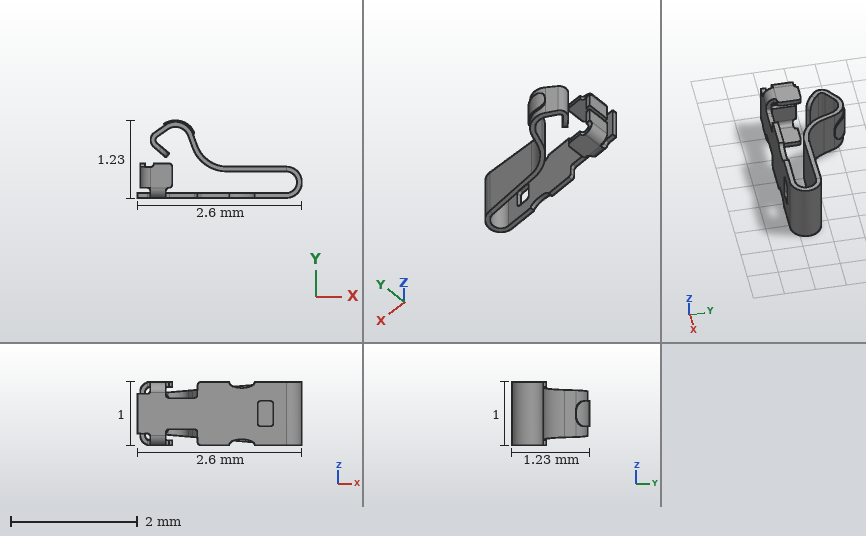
import cadquery as cq
import math


length = 2.6
width = 1.0
sheet = 0.08
corner_radius = 0.05
half_width = width / 2
half_sheet = sheet / 2

tail_half_width = 0.315
waist_half_width = 0.247
shoulder_x = 0.95
notch_center_x = 1.65
notch_length = 0.4
notch_depth = 0.095
window_center_x = 2.023
window_length = 0.25
window_width = 0.4

return_height = 0.5
return_length = 0.935
neck_radius = 0.54
neck_angle = 70.0
neck_length = 0.195
crest_radius = 0.252
crest_slope = 35.0
ramp_length = 0.203
hook_radius = 0.105
tip_slope = 40.5
tip_length = 0.255
tip_corner_radius = 0.15
taper_angle = 5.0

pad_thickness = 0.025
pad_width = 0.4
pad_corner_radius = 0.15

arm_start_x = 0.203
arm_end_x = 0.45
arm_bend_radius = 0.16
flange_end_x = 0.55
flange_top = 0.549
flange_corner_radius = 0.055
wall_end_z = 0.05
relief_floor = 0.491
relief_end_x = 0.257

bend_z = half_width - arm_bend_radius
wall_x = arm_start_x - arm_bend_radius
return_x = length - return_height / 2


def polar(center, radius, angle):
    """Point at a radius and an angle in degrees from a centre; a negative radius goes the opposite way."""
    turn = math.radians(angle)
    return (center[0] + radius * math.cos(turn), center[1] + radius * math.sin(turn))


def box(x_range, y_range, z_range):
    """Axis-aligned block between pairs of limits."""
    sizes = [high - low for low, high in (x_range, y_range, z_range)]
    return cq.Workplane("XY").box(*sizes, centered=False).translate((x_range[0], y_range[0], z_range[0]))


def concave_corner(workplane, corner, leg_1, leg_2, radius):
    """Fillet area in a square corner; leg_1 and leg_2 (1 or -1) are the legs' directions along x and y."""
    x, y = corner
    start = (x + leg_1 * radius, y)
    end = (x, y + leg_2 * radius)
    center = (x + leg_1 * radius, y + leg_2 * radius)
    middle = polar(center, radius, math.degrees(math.atan2(-leg_2, -leg_1)))
    return workplane.moveTo(*start).threePointArc(middle, end).lineTo(x, y).close()


return_radius = return_height / 2 - half_sheet
return_center = (return_x, return_height / 2)

neck_center = (return_x - return_length, return_height - half_sheet + neck_radius)
neck_end_angle = 270 - neck_angle
neck_end = polar(neck_center, neck_radius, neck_end_angle)

crest_start_angle = 90 - neck_angle
crest_end_angle = 90 + crest_slope
crest_start = polar(neck_end, neck_length, crest_start_angle + 90)
crest_center = polar(crest_start, -crest_radius, crest_start_angle)
crest_end = polar(crest_center, crest_radius, crest_end_angle)

hook_start = polar(crest_end, ramp_length, crest_end_angle + 90)
hook_center = polar(hook_start, -hook_radius, crest_end_angle)
hook_end_angle = 270 - tip_slope
hook_end = polar(hook_center, hook_radius, hook_end_angle)
tip_end = polar(hook_end, tip_length, hook_end_angle + 90)

strip_bends = [
    (return_center, return_radius, -90, 90),
    (neck_center, neck_radius, 270, neck_end_angle),
    (crest_center, crest_radius, crest_start_angle, crest_end_angle),
    (hook_center, hook_radius, crest_end_angle, hook_end_angle),
]


def bend_arc(bend, right_shift):
    """Start, middle and end of a bend's arc, shifted to the right of the walking direction."""
    center, radius, first, last = bend
    shifted = radius + right_shift * math.copysign(1, last - first)
    return [polar(center, shifted, angle) for angle in (first, (first + last) / 2, last)]


def strip_side_profile():
    """Bent-sheet outline from the start of the return bend to the tip."""
    outer_arcs = [bend_arc(bend, half_sheet) for bend in strip_bends]
    inner_arcs = [bend_arc(bend, -half_sheet)[::-1] for bend in reversed(strip_bends)]
    profile = cq.Workplane("XY").moveTo(*outer_arcs[0][0])
    profile = profile.threePointArc(*outer_arcs[0][1:])
    for start, middle, end in outer_arcs[1:]:
        profile = profile.lineTo(*start).threePointArc(middle, end)
    profile = profile.lineTo(*polar(tip_end, half_sheet, hook_end_angle))
    profile = profile.lineTo(*polar(tip_end, -half_sheet, hook_end_angle))
    for start, middle, end in inner_arcs:
        profile = profile.lineTo(*start).threePointArc(middle, end)
    return profile.close()


def build_strip():
    """Bent strip, full width at the return bend and tapering towards the rounded tip."""
    strip = strip_side_profile().extrude(half_width, both=True)
    narrow_half = half_width - return_x * math.tan(math.radians(taper_angle))
    taper_points = [
        (0, narrow_half),
        (return_x, half_width),
        (length, half_width),
        (length, -half_width),
        (return_x, -half_width),
        (0, -narrow_half),
    ]
    taper = cq.Workplane("XZ").polyline(taper_points).close().extrude(-length)
    strip = strip.intersect(taper)
    for side in (1, -1):
        tip_corner = cq.selectors.NearestToPointSelector((*tip_end, side * tail_half_width))
        strip = strip.edges(tip_corner).fillet(tip_corner_radius)
    return strip


def build_base():
    """Flat plate with a narrow tail, a waist, two edge notches and a window."""
    outline = [
        (0, tail_half_width),
        (arm_start_x, tail_half_width),
        (arm_start_x, bend_z),
        (arm_end_x, bend_z),
        (arm_end_x, waist_half_width),
        (shoulder_x, waist_half_width),
        (shoulder_x, half_width),
        (return_x, half_width),
    ]
    mirrored = [(x, -z) for x, z in reversed(outline)]
    plate = cq.Workplane("XZ").polyline(outline + mirrored).close().extrude(-sheet)
    for side in (1, -1):
        for x in (arm_end_x, shoulder_x):
            waist_corner = cq.selectors.NearestToPointSelector((x, half_sheet, side * waist_half_width))
            plate = plate.edges(waist_corner).fillet(corner_radius)
        shoulder = cq.selectors.NearestToPointSelector((shoulder_x, half_sheet, side * half_width))
        plate = plate.edges(shoulder).fillet(corner_radius)
        notch = cq.Workplane("XZ").center(notch_center_x, side * half_width)
        plate = plate.cut(notch.ellipse(notch_length / 2, notch_depth).extrude(-sheet))
    window = (
        cq.Workplane("XZ")
        .center(window_center_x, 0)
        .rect(window_length, window_width)
        .extrude(-sheet)
        .edges("|Y")
        .fillet(corner_radius)
    )
    return plate.cut(window)


def quarter_bend(plane, center, start_angle):
    """Closed outline of a 90 degree sheet bend with the arm's radius."""
    inner = arm_bend_radius - sheet
    angles = [start_angle, start_angle + 45, start_angle + 90]
    outer_points = [polar(center, arm_bend_radius, angle) for angle in angles]
    inner_points = [polar(center, inner, angle) for angle in reversed(angles)]
    return (
        cq.Workplane(plane)
        .moveTo(*outer_points[0])
        .threePointArc(*outer_points[1:])
        .lineTo(*inner_points[0])
        .threePointArc(*inner_points[1:])
        .close()
    )


def build_neck():
    """Bend from the plate into the flange, flared at the flange and filleted at the tail."""
    blank = quarter_bend("YZ", (arm_bend_radius, bend_z), 90).extrude(flange_end_x)
    blank = blank.union(box((0, arm_end_x), (0, sheet), (tail_half_width, bend_z)))
    area = box((arm_start_x, arm_end_x), (0, arm_bend_radius), (bend_z, half_width))
    for x, direction in ((arm_start_x, -1), (arm_end_x, 1)):
        flare_corner = (x, arm_bend_radius)
        flare = concave_corner(cq.Workplane("XY"), flare_corner, direction, -1, corner_radius)
        area = area.union(flare.extrude(half_width))
    tail_corner = (arm_start_x, tail_half_width)
    tail_fillet = concave_corner(cq.Workplane("XZ"), tail_corner, -1, 1, corner_radius)
    return blank.intersect(area.union(tail_fillet.extrude(-sheet)))


def build_relief():
    """Cut-out over the curl that leaves the flange and the end wall standing, with filleted corners."""
    y_range = (relief_floor, flange_top)
    beside_flange = box((0, relief_end_x), y_range, (0, half_width))
    flange_corner = concave_corner(cq.Workplane("XY"), (relief_end_x, relief_floor), -1, 1, corner_radius)
    beside_wall = box((0, relief_end_x), y_range, (bend_z, half_width))
    wall_corner = concave_corner(cq.Workplane("YZ"), (relief_floor, bend_z), 1, 1, corner_radius)
    beside_flange = beside_flange.cut(flange_corner.extrude(half_width))
    beside_wall = beside_wall.cut(wall_corner.extrude(relief_end_x))
    return beside_flange.intersect(beside_wall)


def build_arm():
    """Neck, flange, curl and end wall of the +Z arm."""
    y_range = (arm_bend_radius, flange_top)
    flange = box((arm_start_x, flange_end_x), y_range, (half_width - sheet, half_width))
    flange = flange.edges(">X and |Z").fillet(flange_corner_radius)
    curl = quarter_bend("XZ", (arm_start_x, bend_z), 90).extrude(arm_bend_radius - flange_top)
    curl = curl.translate((0, arm_bend_radius, 0))
    wall = box((wall_x, wall_x + sheet), y_range, (wall_end_z, bend_z))
    return flange.union(curl).union(wall).cut(build_relief()).union(build_neck())


def build_spring():
    """Base plate, bent strip and both arms as one sheet."""
    arm = build_arm()
    return build_base().union(build_strip()).union(arm).union(arm.mirror("XY"))


def build_pad():
    """Thin curved pad that covers the crest's outer face, with rounded corners."""
    pad_bottom = crest_radius + half_sheet
    pad_top = pad_bottom + pad_thickness
    middle_angle = (crest_start_angle + crest_end_angle) / 2
    pad = (
        cq.Workplane("XY")
        .moveTo(*polar(crest_center, pad_bottom, crest_start_angle))
        .threePointArc(
            polar(crest_center, pad_bottom, middle_angle),
            polar(crest_center, pad_bottom, crest_end_angle),
        )
        .lineTo(*polar(crest_center, pad_top, crest_end_angle))
        .threePointArc(
            polar(crest_center, pad_top, middle_angle),
            polar(crest_center, pad_top, crest_start_angle),
        )
        .close()
        .extrude(pad_width / 2, both=True)
    )
    for angle, inward in ((crest_start_angle, 90), (crest_end_angle, -90)):
        outward = (*polar((0, 0), 1, angle), 0)
        along_pad = (*polar((0, 0), 1, angle + inward), 0)
        end_plane = cq.Plane(origin=(*crest_center, 0), xDir=along_pad, normal=outward)
        for side in (1, -1):
            corner = (0, side * pad_width / 2)
            waste = concave_corner(cq.Workplane(end_plane), corner, 1, -side, pad_corner_radius)
            pad = pad.cut(waste.extrude(pad_top))
    return pad


spring = build_spring()
pad = build_pad()
result = cq.Compound.makeCompound([spring.solids().val(), pad.solids().val()])